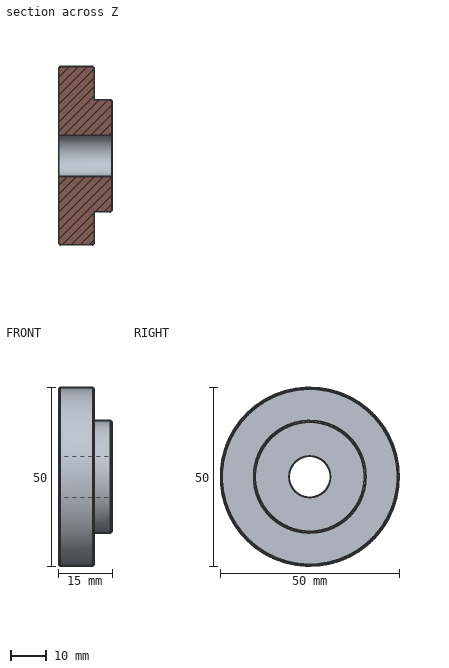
import cadquery as cq

disc_diameter = 50
disc_thickness = 10
hub_diameter = 31.5
hub_length = 5
bore_diameter = 11.5
edge_chamfer = 0.5


def chamfered_cylinder(diameter, start_x, length, chamfered_edges):
    """Cylinder along +X with the selected end edges chamfered."""
    cylinder = cq.Workplane("YZ", origin=(start_x, 0, 0)).circle(diameter / 2).extrude(length)
    return cylinder.edges(chamfered_edges).chamfer(edge_chamfer)


disc = chamfered_cylinder(disc_diameter, 0, disc_thickness, "<X or >X")
hub = chamfered_cylinder(hub_diameter, disc_thickness, hub_length, ">X")

total_length = disc_thickness + hub_length
bore = cq.Workplane("YZ").circle(bore_diameter / 2).extrude(total_length)

result = disc.union(hub).cut(bore)